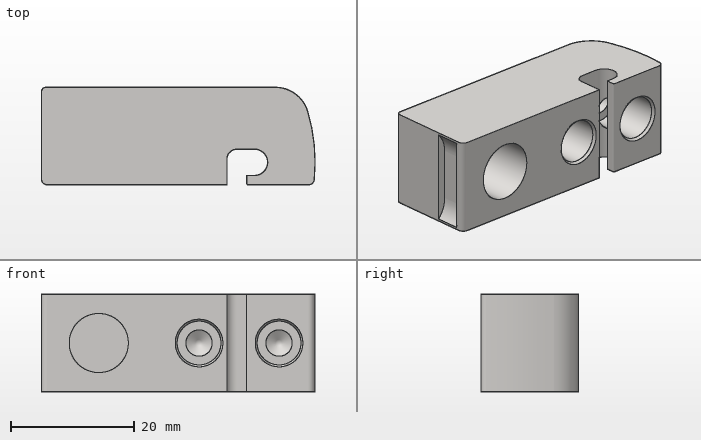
import cadquery as cq
import math

length = 44.45
width = 15.85
height = width
mid_height = height / 2
nose_radius = 28.9
nose_center_y = 3.7
nose_blend_radius = 5.55
front_corner_radius = 1.0
back_corner_radius = 0.8

slot_left = 30.15
mouth_width = 3.2
lip_thickness = 1.55
cavity_depth = 5.8
cavity_right = 36.7
cavity_corner_radius = 1.6
lip_corner_radius = 0.22

plain_hole_x = 9.35
plain_hole_diameter = 9.6
plain_hole_depth = 11.1

screw_hole_xs = (25.6, 38.6)
counterbore_diameter = 7.1
counterbore_depth = 9.02
chamfer_width = 0.3
chamfer_depth = 0.5
pilot_diameter = 4.25
pilot_depth = 11.1
drill_point_angle = 118

pocket_length = 15.1
pocket_flat_length = 8.45
pocket_depth = 1.35


def nose_x(y):
    """X of the nose arc at a given Y."""
    drop = nose_radius - math.sqrt(nose_radius**2 - (y - nose_center_y) ** 2)
    return length - drop


def make_block():
    block = (
        cq.Workplane("XY")
        .lineTo(nose_x(0), 0)
        .threePointArc((length, nose_center_y), (nose_x(width), width))
        .lineTo(0, width)
        .close()
        .extrude(height)
    )
    block = block.edges("|Z").edges(">Y").edges(">X").fillet(nose_blend_radius)
    block = block.edges("|Z and <Y").fillet(front_corner_radius)
    return block.edges("|Z").edges("<X").edges(">Y").fillet(back_corner_radius)


def make_slot():
    mouth = cq.Workplane("XY").box(mouth_width, cavity_depth, height, centered=False)
    cavity_length = cavity_right - slot_left
    cavity_height = cavity_depth - lip_thickness
    end_radius = cavity_height / 2
    straight_length = cavity_length - end_radius
    cavity = (
        cq.Workplane("XY")
        .moveTo(0, lip_thickness)
        .lineTo(straight_length, lip_thickness)
        .threePointArc((cavity_length, lip_thickness + end_radius), (straight_length, cavity_depth))
        .lineTo(0, cavity_depth)
        .close()
        .extrude(height)
    )
    slot = mouth.union(cavity).clean()
    slot = slot.edges("|Z").edges("<X").edges(">Y").fillet(cavity_corner_radius)
    return slot.translate((slot_left, 0, 0))


def make_screw_hole(x):
    """Revolved cutter: chamfer, counterbore, pilot hole and drill point."""
    bore_radius = counterbore_diameter / 2
    pilot_radius = pilot_diameter / 2
    point_length = pilot_radius / math.tan(math.radians(drill_point_angle / 2))
    profile = [
        (0, 0),
        (bore_radius + chamfer_width, 0),
        (bore_radius, chamfer_depth),
        (bore_radius, counterbore_depth),
        (pilot_radius, counterbore_depth),
        (pilot_radius, pilot_depth),
        (0, pilot_depth + point_length),
    ]
    cutter = cq.Workplane("XY").polyline(profile).close().revolve(360, (0, 0), (0, 1))
    return cutter.translate((x, 0, mid_height))


def make_plain_hole():
    return (
        cq.Workplane("XZ", origin=(plain_hole_x, 0, mid_height))
        .circle(plain_hole_diameter / 2)
        .extrude(-plain_hole_depth)
    )


def make_pocket():
    """Flat floor with end arcs tangent to it, level with the slot cavity in Y."""
    half_flat = pocket_flat_length / 2
    half_length = pocket_length / 2
    arc_rise = half_length - half_flat
    arc_radius = (arc_rise**2 + pocket_depth**2) / (2 * pocket_depth)
    mid_rise = arc_rise / 2
    arc_mid_x = pocket_depth - arc_radius + math.sqrt(arc_radius**2 - mid_rise**2)
    return (
        cq.Workplane("XZ", origin=(0, lip_thickness, mid_height))
        .moveTo(0, -half_length)
        .threePointArc((arc_mid_x, -half_flat - mid_rise), (pocket_depth, -half_flat))
        .lineTo(pocket_depth, half_flat)
        .threePointArc((arc_mid_x, half_flat + mid_rise), (0, half_length))
        .close()
        .extrude(-(cavity_depth - lip_thickness))
    )


result = make_block().cut(make_slot())
lip_corner = cq.selectors.NearestToPointSelector((slot_left + mouth_width, 0, mid_height))
result = result.edges("|Z").edges(lip_corner).fillet(lip_corner_radius)
result = result.cut(make_plain_hole()).cut(make_pocket())
for screw_hole_x in screw_hole_xs:
    result = result.cut(make_screw_hole(screw_hole_x))